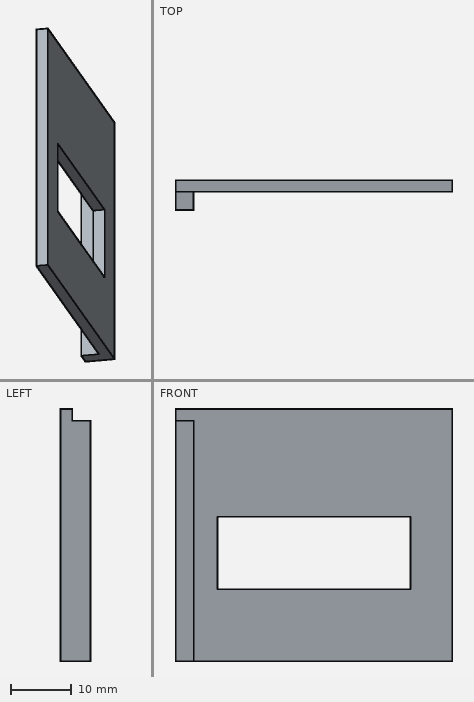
import cadquery as cq

plate_width = 46.0
plate_height = 42.0
plate_thickness = 2.0

total_depth = 5.0
rib_width = 3.0
rib_depth = total_depth - plate_thickness
rib_height = plate_height - plate_thickness

window_width = 32.0
window_height = 12.0
window_bottom = 12.0


def corner_box(width, depth, height):
    """Box with its lower left front corner at the origin."""
    return cq.Workplane("XY").box(width, depth, height, centered=False)


plate = corner_box(plate_width, plate_thickness, plate_height).translate((0, rib_depth, 0))
rib = corner_box(rib_width, rib_depth, rib_height)

window_left = (plate_width - window_width) / 2
window = corner_box(window_width, total_depth, window_height).translate((window_left, 0, window_bottom))

result = plate.union(rib).cut(window)